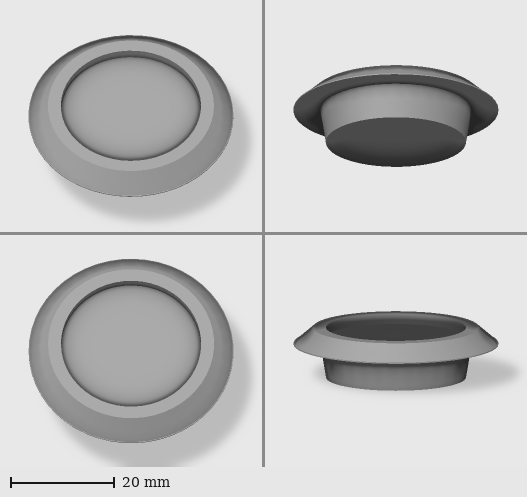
import cadquery as cq

total_height = 9.8
flange_diameter = 39.5
flange_top_diameter = 32

flange_height = 3.28
rim_height = 0.2
rim_ledge_width = 0.15

plug_bottom_diameter = 27.0
plug_top_diameter = 29.15

recess_diameter = 27.0
recess_depth = 2.0

flange_bottom = total_height - flange_height
recess_floor = total_height - recess_depth

half_section = (
    cq.Workplane("XZ")
    .moveTo(0, 0)
    .lineTo(plug_bottom_diameter / 2, 0)
    .lineTo(plug_top_diameter / 2, flange_bottom)
    .lineTo(flange_diameter / 2, flange_bottom)
    .lineTo(flange_diameter / 2, flange_bottom + rim_height)
    .lineTo(flange_diameter / 2 - rim_ledge_width, flange_bottom + rim_height)
    .lineTo(flange_top_diameter / 2, total_height)
    .lineTo(recess_diameter / 2, total_height)
    .lineTo(recess_diameter / 2, recess_floor)
    .lineTo(0, recess_floor)
    .close()
)

result = half_section.revolve(360, (0, 0, 0), (0, 1, 0))